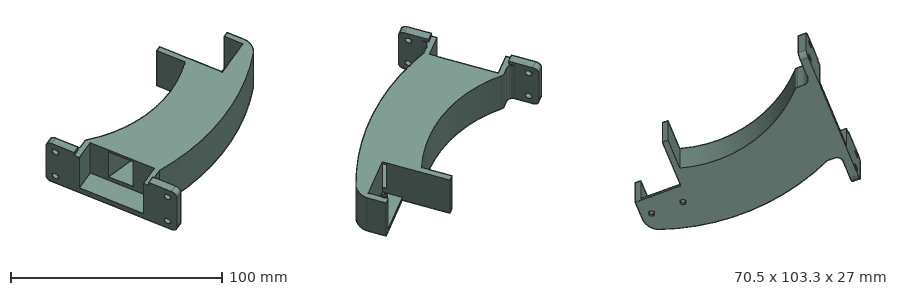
import cadquery as cq
import math

plate_width = 70.5
plate_thick = 4.0
plate_height = 27.0
plate_corner = 3.0
screw_x = 30.2
screw_low_z = 5.0
screw_high_z = 22.0
screw_diameter = 3.4

arm_height = 24.9
neck_half = 20.0
neck_left_end = 11.3
neck_right_end = 11.0
neck_fillet = 3.0
neck_shoulder_radius = 2.0
inner_arc_mid = (-3.0, 37.1)
inner_arc_end_x = -2.0
outer_arc_mid = (30.6, 55.4)
tip_arc_start = (23.7, 98.0)
tip_arc_mid = (21.3, 101.1)
tip_arc_end_x = 16.1

socket_half = 17.3
socket_depth = 10.8
socket_floor = 3.4

length = 103.3
tip_left = 6.6
wall = 2.9
pocket_right = 16.6
pocket_front = 80.2
pocket_back = length - wall
pocket_floor = 2.3
shelf_left = -socket_half
shelf_front = pocket_front - wall
pin_x = 14.8
pin_ys = (82.1, 98.1)
pin_diameter = 2.8

channel_left = -7.3
channel_right = 5.8
channel_bottom = 5.9
channel_top = 23.6
channel_angle = 17.5


def block(x0, x1, y0, y1, z0, z1):
    return cq.Workplane("XY").box(x1 - x0, y1 - y0, z1 - z0, centered=False).translate((x0, y0, z0))


def make_plate():
    half = plate_width / 2
    plate = block(-half, half, 0, plate_thick, 0, plate_height).edges("|Y").fillet(plate_corner)
    notch = block(-neck_half, neck_half, 0, plate_thick, arm_height, plate_height)
    screws = (
        cq.Workplane("XZ")
        .pushPoints([(x, z) for x in (-screw_x, screw_x) for z in (screw_low_z, screw_high_z)])
        .circle(screw_diameter / 2)
        .extrude(-plate_thick)
    )
    return plate.cut(notch).cut(screws)


def make_arm():
    fillet_end = plate_thick + neck_fillet
    foot_half = neck_half + neck_fillet
    bulge = neck_fillet * (1 - math.sqrt(0.5))
    fillet_mid_x = neck_half + bulge
    fillet_mid_y = plate_thick + bulge
    return (
        cq.Workplane("XY")
        .moveTo(-neck_half, 0)
        .lineTo(neck_half, 0)
        .lineTo(neck_half, plate_thick)
        .lineTo(foot_half, plate_thick)
        .threePointArc((fillet_mid_x, fillet_mid_y), (neck_half, fillet_end))
        .lineTo(neck_half, neck_right_end)
        .threePointArc(outer_arc_mid, tip_arc_start)
        .threePointArc(tip_arc_mid, (tip_arc_end_x, length))
        .lineTo(tip_left, length)
        .lineTo(tip_left, pocket_front)
        .lineTo(shelf_left, pocket_front)
        .lineTo(shelf_left, shelf_front)
        .lineTo(inner_arc_end_x, shelf_front)
        .threePointArc(inner_arc_mid, (-neck_half, neck_left_end))
        .lineTo(-neck_half, fillet_end)
        .threePointArc((-fillet_mid_x, fillet_mid_y), (-foot_half, plate_thick))
        .lineTo(-neck_half, plate_thick)
        .close()
        .extrude(arm_height)
        .edges(cq.NearestToPointSelector((-neck_half, neck_left_end, arm_height / 2)))
        .fillet(neck_shoulder_radius)
    )


def make_channel():
    shift = (pocket_front - socket_depth) * math.tan(math.radians(channel_angle))
    return (
        cq.Workplane("XY", origin=(0, 0, channel_bottom))
        .moveTo(channel_left, socket_depth)
        .lineTo(channel_right, socket_depth)
        .lineTo(channel_right + shift, pocket_front)
        .lineTo(channel_left + shift, pocket_front)
        .close()
        .extrude(channel_top - channel_bottom)
    )


socket = block(-socket_half, socket_half, 0, socket_depth, socket_floor, arm_height)
tip_pocket = block(tip_left, pocket_right, pocket_front, pocket_back, pocket_floor, arm_height)
pin_holes = (
    cq.Workplane("XY")
    .pushPoints([(pin_x, y) for y in pin_ys])
    .circle(pin_diameter / 2)
    .extrude(pocket_floor)
)

result = make_plate().union(make_arm())
for cutter in (socket, tip_pocket, pin_holes, make_channel()):
    result = result.cut(cutter)